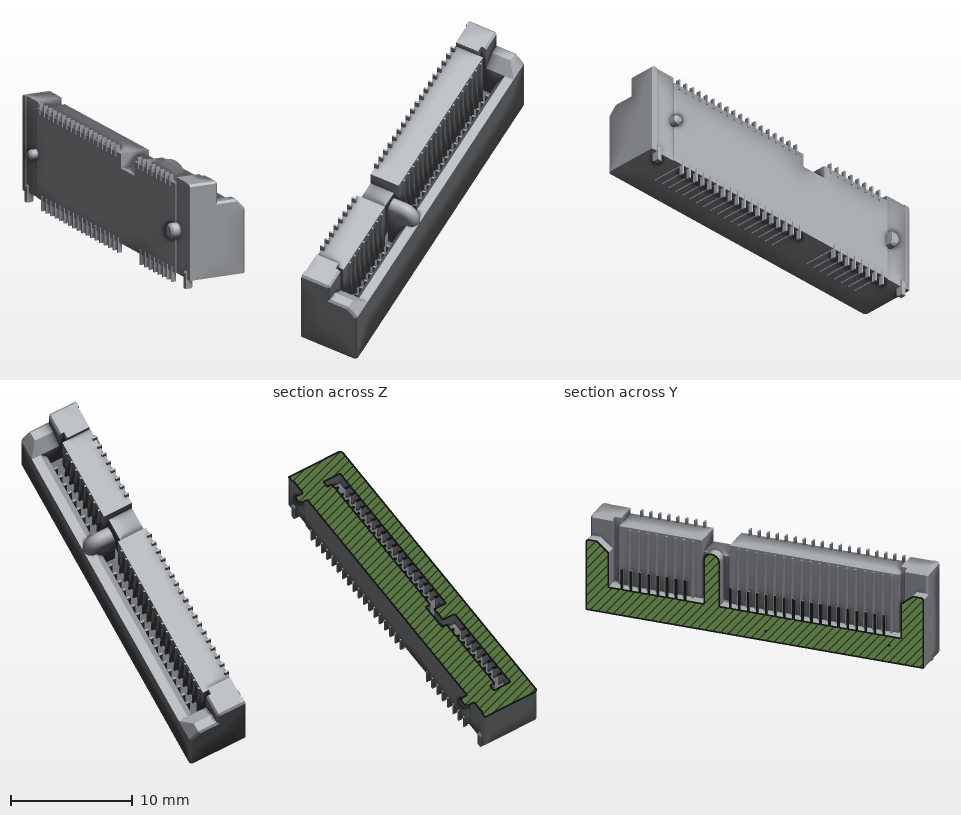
import cadquery as cq

half_length = 14.95
depth = 5.15
end_height = 8.2
step_depth = 2.6
shoulder_height = 6.4
rear_wall_height = 5.53
rear_slope_depth = 0.85
edge_chamfer = 0.18

center_half = 12.38
center_height = 7.65
strip_width = 0.57
face_recess = 0.1
strip_inner = half_length - strip_width

slot_half = 12.95
slot_front = 2.15
slot_back = 3.75
slot_floor = 2.4
lead_in_back = 4.35
lead_in_drop = 1.05
funnel_width = 1.05

notch_left = 2.6
notch_right = 5.05
notch_floor = 6.43
key_x = (notch_left + notch_right) / 2
key_radius = 0.7
key_top = 7.03
key_bend = key_top - rear_wall_height

pitch = 0.7998
contact_positions = [*range(18), *range(22, 30)]
first_upper_x = -11.8
first_lower_x = first_upper_x + pitch / 2
contact_width = 0.15
proud = 0.1
tail_depth = 0.3
upper_tail_bottom = 7.25
lower_tail_top = 0.4
lower_tail_drop = 0.9
lead_back = 3.15
upper_spring_top = 7.5
upper_spring_thickness = 0.15
upper_spring_bulge = 0.3
lower_spring_front = 3.35
lower_spring_back = 3.65
lower_spring_top = 4.2

hold_down_width = 0.42
hold_down_depth = 0.5
hold_down_top = 0.65
hold_down_drop = 0.85
hold_down_round = 0.15
hold_down_bevel = 0.15

peg_x = 12.5
peg_z = 3.7
peg_length = 0.72
peg_chamfer = 0.18
round_peg_radius = 0.42
flat_peg_radius = 0.65
flat_peg_offset = 0.33

overlap = 0.3
above = end_height + overlap


def block(x, y, z):
    """Box given by its (low, high) limits along each axis."""
    size = [high - low for low, high in (x, y, z)]
    return cq.Workplane("XY").box(*size, centered=False).translate((x[0], y[0], z[0]))


def make_shell():
    """Solid housing with the stepped end outline and chamfered outer ends."""
    outline = [
        (0, 0),
        (depth, 0),
        (depth, rear_wall_height),
        (depth - rear_slope_depth, shoulder_height),
        (step_depth, shoulder_height),
        (step_depth, end_height - edge_chamfer),
        (step_depth - edge_chamfer, end_height),
        (0, end_height),
    ]
    shell = cq.Workplane("YZ").polyline(outline).close().extrude(half_length, both=True)
    return shell.faces("<X or >X").edges("not(<Y or <Z)").chamfer(edge_chamfer)


def cut_slot(body):
    """Open the card slot with its sloped lead-in and the funnels at both ends."""
    side_outline = [
        (slot_front, slot_floor),
        (slot_back, slot_floor),
        (slot_back, rear_wall_height - lead_in_drop),
        (lead_in_back, rear_wall_height),
        (depth + overlap, rear_wall_height),
        (depth + overlap, above),
        (slot_front, above),
    ]
    slot = cq.Workplane("YZ").polyline(side_outline).close().extrude(slot_half, both=True)
    funnel_outline = [
        (-slot_half - funnel_width, shoulder_height),
        (-slot_half, rear_wall_height),
        (slot_half, rear_wall_height),
        (slot_half + funnel_width, shoulder_height),
    ]
    funnel_plane = cq.Workplane("XZ", origin=(0, step_depth, 0))
    funnel = funnel_plane.polyline(funnel_outline).close().extrude(-depth)
    return body.cut(slot).cut(funnel)


def shape_front(body):
    """Lower the middle, add the contact walls beside the notch and recess the end faces."""
    body = body.cut(
        block((-center_half, center_half), (-overlap, step_depth + overlap), (center_height, above))
    )
    for x in ((-center_half, notch_left), (notch_right, center_half)):
        body = body.union(block(x, (0, step_depth), (slot_floor - overlap, center_height)))
    body = body.cut(block((notch_left, notch_right), (-overlap, slot_front), (notch_floor, above)))
    for x in ((-strip_inner, -center_half), (center_half, strip_inner)):
        body = body.cut(block(x, (-overlap, face_recess), (-overlap, above)))
    return body


def make_key():
    """Key across the slot, with a round top that bends down onto the rear wall."""
    bend_start = depth - key_bend
    side_height = key_bend - key_radius
    section = (
        cq.Workplane("XZ", origin=(key_x, bend_start, rear_wall_height))
        .moveTo(-key_radius, 0)
        .lineTo(-key_radius, side_height)
        .threePointArc((0, key_bend), (key_radius, side_height))
        .lineTo(key_radius, 0)
        .close()
    )
    straight = section.extrude(bend_start - step_depth)
    bend = section.toPending().revolve(90, (0.3, 0), (-0.3, 0))
    web = block(
        (key_x - key_radius, key_x + key_radius),
        (step_depth, lead_in_back),
        (slot_floor - overlap, rear_wall_height),
    )
    return straight.union(bend).union(web)


def upper_contact(x):
    """Tail standing up the front face and a spring on the front wall of the slot."""
    sides = (x - contact_width / 2, x + contact_width / 2)
    tail = block(sides, (-proud, tail_depth), (upper_tail_bottom, end_height))
    spring_outline = [
        (step_depth - overlap, slot_floor - overlap),
        (step_depth + upper_spring_bulge, slot_floor - overlap),
        (step_depth + upper_spring_thickness, shoulder_height),
        (step_depth + upper_spring_thickness, upper_spring_top),
        (step_depth - overlap, upper_spring_top),
    ]
    spring_plane = cq.Workplane("YZ", origin=(sides[0], 0, 0))
    spring = spring_plane.polyline(spring_outline).close().extrude(contact_width)
    return [tail.val(), spring.val()]


def lower_contact(x):
    """Tail hanging below the front face, a lead under the housing and a spring at the slot's back."""
    sides = (x - contact_width / 2, x + contact_width / 2)
    tail = block(sides, (-proud, tail_depth), (-lower_tail_drop, lower_tail_top))
    lead = block(sides, (tail_depth - overlap, lead_back), (-proud, proud))
    spring = block(
        sides, (lower_spring_front, lower_spring_back), (slot_floor - overlap, lower_spring_top)
    )
    return [tail.union(lead).val(), spring.val()]


def make_contacts():
    """Both contact rows, the lower one shifted by half a pitch."""
    pieces = []
    for position in contact_positions:
        pieces += upper_contact(first_upper_x + position * pitch)
        pieces += lower_contact(first_lower_x + position * pitch)
    return cq.Workplane("XY").newObject(pieces)


def make_hold_down(left):
    """Solder leg with its lower back edge rounded and its upper front edge beveled."""
    leg = block(
        (left, left + hold_down_width),
        (-proud, hold_down_depth),
        (-hold_down_drop, hold_down_top),
    )
    leg = leg.edges("|X and >Y and <Z").fillet(hold_down_round)
    return leg.edges("|X and <Y and >Z").chamfer(hold_down_bevel)


def make_peg(x, radius):
    """Locating peg with a chamfered tip."""
    peg = cq.Workplane("XZ", origin=(x, overlap, peg_z)).circle(radius).extrude(overlap + peg_length)
    return peg.faces("<Y").chamfer(peg_chamfer)


def make_flat_peg():
    """Larger locating peg with a flat on the side facing the middle."""
    flat_x = peg_x - flat_peg_offset
    cutter = block((flat_x - flat_peg_radius, flat_x), (-peg_length, overlap), (0, end_height))
    return make_peg(peg_x, flat_peg_radius).cut(cutter)


body = shape_front(cut_slot(make_shell()))
body = body.union(make_key())
body = body.union(make_hold_down(-strip_inner))
body = body.union(make_hold_down(strip_inner - hold_down_width))
body = body.union(make_peg(-peg_x, round_peg_radius))
body = body.union(make_flat_peg())
result = body.union(make_contacts())